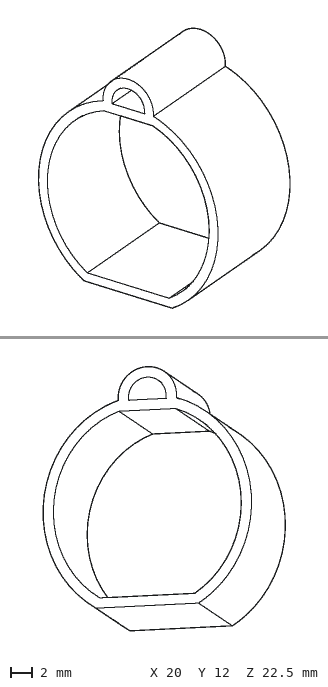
import cadquery as cq

LENGTH = 12.0
WALL = 1.0
BAND_HALF_WIDTH = 10.0
BAND_HALF_HEIGHT = 10.62
FLAT_BOTTOM = -9.25
FLAT_THICKNESS = 0.95
LOOP_TOP = 13.25
LOOP_RADIUS = 2.8
BRIDGE_TOP = 10.17

LOOP_CENTRE = LOOP_TOP - LOOP_RADIUS
LOOP_INNER_RADIUS = LOOP_RADIUS - WALL
BRIDGE_BOTTOM = BRIDGE_TOP - WALL
FLAT_TOP = FLAT_BOTTOM + FLAT_THICKNESS


def rear_plane():
    """XZ sketch plane on the rear end face; extrusions run forward along -Y."""
    return cq.Workplane("XZ", origin=(0, LENGTH / 2, 0))


def trimmed_ellipse(half_width, half_height, bottom, top):
    """Elliptical cylinder along Y, cut flat at the heights bottom and top."""
    cylinder = rear_plane().ellipse(half_width, half_height).extrude(LENGTH)
    slab = (
        rear_plane()
        .center(0, (bottom + top) / 2)
        .rect(4 * half_width, top - bottom)
        .extrude(LENGTH)
    )
    return cylinder.intersect(slab)


def arch(radius, bottom):
    """Prism along Y with a half-round top and straight legs down to bottom."""
    return (
        rear_plane()
        .moveTo(-radius, bottom)
        .lineTo(-radius, LOOP_CENTRE)
        .threePointArc((0, LOOP_CENTRE + radius), (radius, LOOP_CENTRE))
        .lineTo(radius, bottom)
        .close()
        .extrude(LENGTH)
    )


band = trimmed_ellipse(BAND_HALF_WIDTH, BAND_HALF_HEIGHT, FLAT_BOTTOM, BAND_HALF_HEIGHT)
loop = arch(LOOP_RADIUS, BRIDGE_BOTTOM)

loop_opening = arch(LOOP_INNER_RADIUS, BRIDGE_TOP)
bore = trimmed_ellipse(
    BAND_HALF_WIDTH - WALL,
    BAND_HALF_HEIGHT - WALL,
    FLAT_TOP,
    BRIDGE_BOTTOM,
)

result = band.union(loop).cut(loop_opening).cut(bore)